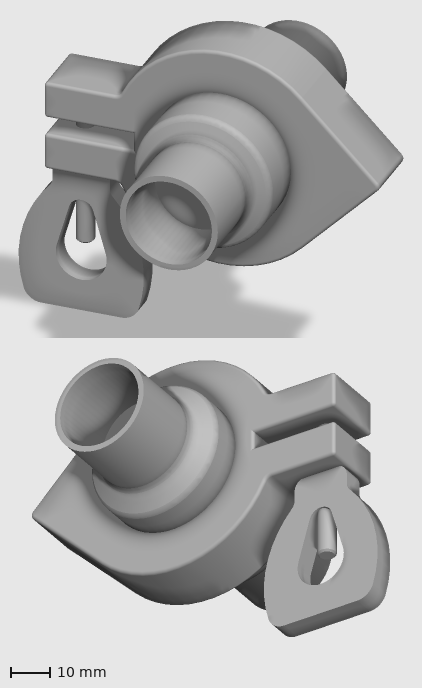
import cadquery as cq
import math


body_radius = 38.0 / 2
pipe_radius = 26.9 / 2
bore_radius = 23.7 / 2
bore_depth = 20.2
front_end = -46.0
front_taper_outer = -25.1
front_taper_inner = -22.8
back_taper_inner = 17.9
back_taper_outer = 22.4
back_end = 44.0
taper_round = 2.0

clamp_thickness = 18.0
clamp_radius = 30.9
nose_round = 1.5
arm_end = -48.9
arm_half_height = 12.5
neck_round = 2.0
slot_half_height = 2.4
slot_end = -24.4
edge_round = 0.9

pin_x = -41.0
pin_radius = 5.0 / 2
pin_bottom = -35.9
pin_top = arm_half_height / 2
pin_chamfer = 0.5

wing_thickness = 6.1
wing_overlap = 0.4
wing_top = wing_overlap - arm_half_height
wing_bottom = -55.0
wing_half_width = 17.2
wing_widest_z = -42.1
wing_side_radius = 31.9
wing_neck_half_width = 7.9
wing_shoulder_round = 3.5
wing_neck_round = 3.0
wing_foot_round = 5.0
eye_large_radius = 7.0
eye_large_z = -39.2
eye_small_radius = 3.4
eye_small_z = -26.4


def plate(outline, thickness):
    """Extrude an XZ outline equally to both sides of the XZ plane."""
    return outline.extrude(thickness / 2, both=True)


def edge_at(x, z):
    """Select the edge parallel to Y that passes nearest to the given point."""
    return cq.selectors.NearestToPointSelector((x, 0, z))


def make_pipe_body():
    profile = [
        (0, front_end),
        (pipe_radius, front_end),
        (pipe_radius, front_taper_outer),
        (body_radius, front_taper_inner),
        (body_radius, back_taper_inner),
        (pipe_radius, back_taper_outer),
        (pipe_radius, back_end),
        (0, back_end),
    ]
    body = cq.Workplane("XY").polyline(profile).close().revolve(360, (0, 0), (0, 1))
    taper_ends = [front_taper_outer, front_taper_inner, back_taper_inner, back_taper_outer]
    for y in taper_ends:
        ring = cq.selectors.BoxSelector(
            (-body_radius, y - 0.1, -body_radius), (body_radius, y + 0.1, body_radius)
        )
        body = body.edges(ring).fillet(taper_round)
    front_bore = cq.Workplane("XZ", origin=(0, front_end, 0)).circle(bore_radius).extrude(-bore_depth)
    back_bore = cq.Workplane("XZ", origin=(0, back_end, 0)).circle(bore_radius).extrude(bore_depth)
    return body.cut(front_bore).cut(back_bore)


def make_clamp():
    tangent = clamp_radius * math.sqrt(0.5)
    nose_tip = clamp_radius * math.sqrt(2)
    neck_x = -math.sqrt(clamp_radius**2 - arm_half_height**2)
    outline = (
        cq.Workplane("XZ")
        .moveTo(arm_end, arm_half_height)
        .lineTo(neck_x, arm_half_height)
        .threePointArc((0, clamp_radius), (tangent, tangent))
        .lineTo(nose_tip, 0)
        .lineTo(tangent, -tangent)
        .threePointArc((0, -clamp_radius), (neck_x, -arm_half_height))
        .lineTo(arm_end, -arm_half_height)
        .close()
    )
    clamp = plate(outline, clamp_thickness)
    clamp = clamp.edges(edge_at(nose_tip, 0)).fillet(nose_round)
    for side in (1, -1):
        clamp = clamp.edges(edge_at(neck_x, side * arm_half_height)).fillet(neck_round)

    slot = plate(
        cq.Workplane("XZ")
        .moveTo(arm_end, -slot_half_height)
        .lineTo(slot_end, -slot_half_height)
        .lineTo(slot_end, slot_half_height)
        .lineTo(arm_end, slot_half_height)
        .close(),
        clamp_thickness,
    )
    clamp = clamp.cut(slot)
    return clamp.faces("<Y or >Y or <X").edges().fillet(edge_round)


def make_pin():
    return (
        cq.Workplane("XY", origin=(pin_x, 0, pin_bottom))
        .circle(pin_radius)
        .extrude(pin_top - pin_bottom)
        .faces("<Z")
        .chamfer(pin_chamfer)
    )


def make_eye():
    """Teardrop opening: two circles joined by their common tangents."""
    slope = math.asin((eye_large_radius - eye_small_radius) / (eye_small_z - eye_large_z))
    small_x = eye_small_radius * math.cos(slope)
    small_z = eye_small_z + eye_small_radius * math.sin(slope)
    large_x = eye_large_radius * math.cos(slope)
    large_z = eye_large_z + eye_large_radius * math.sin(slope)
    outline = (
        cq.Workplane("XZ", origin=(pin_x, 0, 0))
        .moveTo(-small_x, small_z)
        .threePointArc((0, eye_small_z + eye_small_radius), (small_x, small_z))
        .lineTo(large_x, large_z)
        .threePointArc((0, eye_large_z - eye_large_radius), (-large_x, large_z))
        .close()
    )
    return plate(outline, wing_thickness)


def make_wing():
    side_centre = wing_half_width - wing_side_radius
    neck_z = wing_widest_z + math.sqrt(
        wing_side_radius**2 - (wing_neck_half_width - side_centre) ** 2
    )
    foot_x = side_centre + math.sqrt(wing_side_radius**2 - (wing_bottom - wing_widest_z) ** 2)
    outline = (
        cq.Workplane("XZ", origin=(pin_x, 0, 0))
        .moveTo(-wing_neck_half_width, wing_top)
        .lineTo(wing_neck_half_width, wing_top)
        .lineTo(wing_neck_half_width, neck_z)
        .threePointArc((wing_half_width, wing_widest_z), (foot_x, wing_bottom))
        .lineTo(-foot_x, wing_bottom)
        .threePointArc((-wing_half_width, wing_widest_z), (-wing_neck_half_width, neck_z))
        .close()
    )
    wing = plate(outline, wing_thickness)
    corners = [
        (wing_neck_half_width, wing_top, wing_shoulder_round),
        (wing_neck_half_width, neck_z, wing_neck_round),
        (foot_x, wing_bottom, wing_foot_round),
    ]
    for x, z, radius in corners:
        for side in (1, -1):
            wing = wing.edges(edge_at(pin_x + side * x, z)).fillet(radius)
    return wing.cut(make_eye())


result = make_pipe_body().union(make_clamp()).union(make_wing()).union(make_pin())